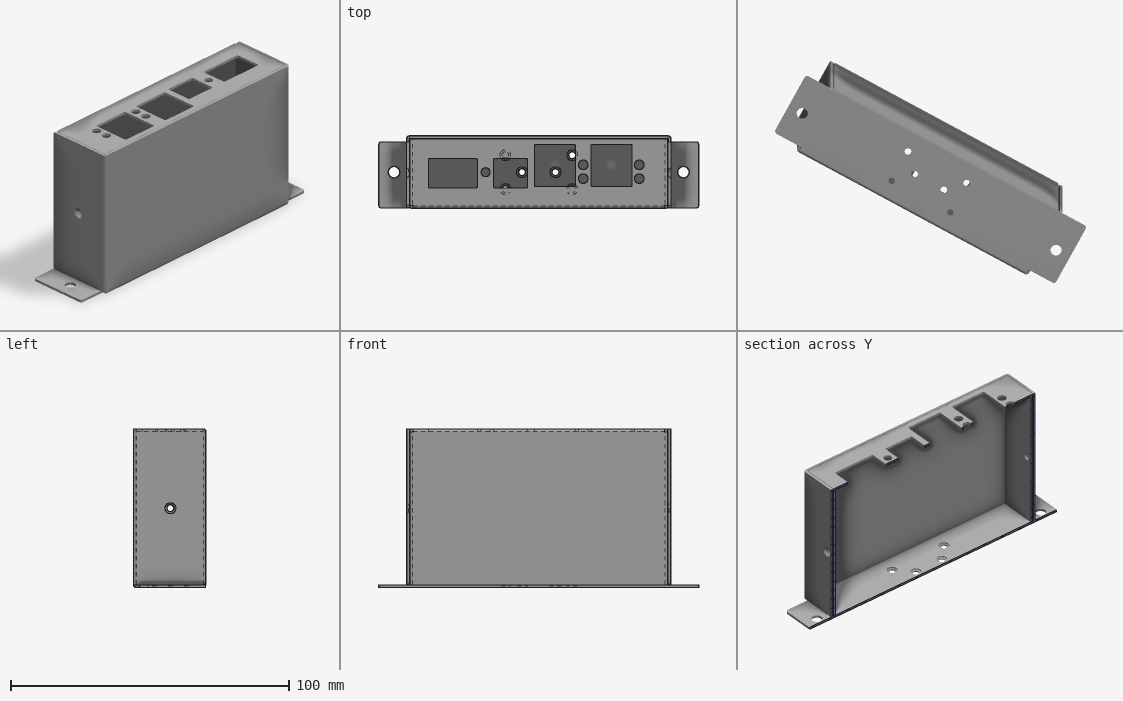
import cadquery as cq

base_length = 115.0
case_length = 95.0
depth = 26.2
height = 57.0
sheet = 1.0
inner_bend_radius = 0.1
bend_radius = sheet + inner_bend_radius
clearance = 0.17
mid_y = depth / 2

tray_half = case_length / 2
tray_front_y = 0.2
ear_back_y = 24.0
corner_radius = 1.0
ear_hole_diameter = 4.0
ear_hole_spacing = 104.0

screw_diameter = 2.4
screw_head_diameter = 3.9
countersink_angle = 90
counterbore_depth = sheet / 2
side_screw_y = 12.9
side_screw_z = height / 2
base_screw_pitch_x = 24.0
base_screw_pitch_y = 12.2
center_screw_pitch_x = base_screw_pitch_x / 2

cover_half = tray_half - sheet - clearance
cover_back_y = depth - sheet - clearance

socket_front_y = 7.5
socket_back_y = 18.0
port_front_y = 8.0
port_back_y = 23.0
port_width = 14.8
windows = [
    (-39.7, 17.6, socket_front_y, socket_back_y),
    (-16.2, 12.2, socket_front_y, socket_back_y),
    (-1.6, port_width, port_front_y, port_back_y),
    (18.7, port_width, port_front_y, port_back_y),
]
window_corner_radius = 0.5

power_light_x = -19.1
power_light_diameter = 3.2
port_light_xs = (16.0, 36.1)
port_light_ys = (10.8, 15.8)
port_light_diameter = 3.5


def block(x_range, y_range, z_range):
    """Box given by its limits along X, Y and Z."""
    ranges = (x_range, y_range, z_range)
    size = [high - low for low, high in ranges]
    corner = tuple(low for low, high in ranges)
    return cq.Workplane("XY").box(*size, centered=False).translate(corner)


def round_holes(points, diameter, bottom_z):
    """Vertical cylinders through one sheet thickness, starting at bottom_z."""
    plane = cq.Workplane("XY", origin=(0, 0, bottom_z))
    return plane.pushPoints(points).circle(diameter / 2).extrude(sheet)


def corner_reliefs(half_length, y_range, z_range):
    """Notches at both ends that separate the bends meeting in a corner, one bend radius wide."""
    right = block((half_length - bend_radius, half_length), y_range, z_range)
    return right.union(right.mirror("YZ"))


def bent_walls():
    """Tray's back wall with the base and both side walls bent forward from it."""
    outside = block((-tray_half, tray_half), (tray_front_y, depth), (0, height))
    outside = outside.edges("(|Z and >Y) or (|X and >Y and <Z)").fillet(bend_radius)
    inside_half = tray_half - sheet
    inside = block((-inside_half, inside_half), (tray_front_y, depth - sheet), (sheet, height))
    inside = inside.edges("(|Z and >Y) or (|X and >Y and <Z)").fillet(inner_bend_radius)
    reliefs = corner_reliefs(tray_half, (ear_back_y, depth), (0, sheet))
    return outside.cut(inside).cut(reliefs)


def side_wall_corner_waste():
    """Material outside the rounded front corners of both side walls."""
    x_range = (-tray_half, tray_half)
    square = block(x_range, (tray_front_y, mid_y), (sheet, height))
    rounded = square.edges("|X and <Y").fillet(corner_radius)
    return square.cut(rounded)


def ear_plate():
    """Flat strip under the case whose ends are the mounting ears."""
    plate = block((-base_length / 2, base_length / 2), (tray_front_y, ear_back_y), (0, sheet))
    plate = plate.edges("|Z").fillet(corner_radius)
    hole_points = [(side * ear_hole_spacing / 2, mid_y) for side in (-1, 1)]
    return plate.cut(round_holes(hole_points, ear_hole_diameter, 0))


def drill_base_screws(tray):
    """Four corner and two center screw holes, counterbored from inside."""
    points = [(x * center_screw_pitch_x / 2, 0) for x in (-1, 1)]
    points += [
        (x * base_screw_pitch_x / 2, y * base_screw_pitch_y / 2)
        for x in (-1, 1)
        for y in (-1, 1)
    ]
    floor = cq.Workplane("XY", origin=(0, mid_y, sheet))
    holes = tray.copyWorkplane(floor).pushPoints(points)
    return holes.cboreHole(screw_diameter, screw_head_diameter, counterbore_depth, sheet)


def drill_side_screws(tray):
    """One hole in each side wall, countersunk from outside."""
    for plane, wall_x in (("YZ", tray_half), ("ZY", -tray_half)):
        face = cq.Workplane(plane, origin=(wall_x, side_screw_y, side_screw_z))
        hole = tray.copyWorkplane(face)
        tray = hole.cskHole(screw_diameter, screw_head_diameter, countersink_angle, sheet)
    return tray


def make_tray():
    """Outer body: back wall, side walls, and base with ears."""
    tray = bent_walls().cut(side_wall_corner_waste()).union(ear_plate())
    return drill_side_screws(drill_base_screws(tray))


def cover_walls():
    """Cover's front wall with the top and both side flanges bent back from it."""
    outside = block((-cover_half, cover_half), (0, cover_back_y), (sheet, height))
    outside = outside.edges("(|Z and <Y) or (|X and <Y and >Z)").fillet(bend_radius)
    inside_half = cover_half - sheet
    inside = block((-inside_half, inside_half), (sheet, cover_back_y), (sheet, height - sheet))
    inside = inside.edges("(|Z and <Y) or (|X and <Y and >Z)").fillet(inner_bend_radius)
    reliefs = corner_reliefs(cover_half, (0, bend_radius), (height - bend_radius, height))
    return outside.cut(inside).cut(reliefs)


def make_cover():
    """Inner body: front wall, top with openings, and side flanges."""
    cover = cover_walls()
    top_bottom_z = height - sheet
    for left_x, width, front_y, back_y in windows:
        window = block((left_x, left_x + width), (front_y, back_y), (top_bottom_z, height))
        cover = cover.cut(window.edges("|Z").fillet(window_corner_radius))

    port_lights = [(x, y) for x in port_light_xs for y in port_light_ys]
    cover = cover.cut(round_holes([(power_light_x, mid_y)], power_light_diameter, top_bottom_z))
    cover = cover.cut(round_holes(port_lights, port_light_diameter, top_bottom_z))

    screw_plane = cq.Workplane("YZ", origin=(-cover_half, side_screw_y, side_screw_z))
    return cover.cut(screw_plane.circle(screw_diameter / 2).extrude(2 * cover_half))


tray = make_tray()
cover = make_cover()
result = cq.Compound.makeCompound([tray.solids().val(), cover.solids().val()])